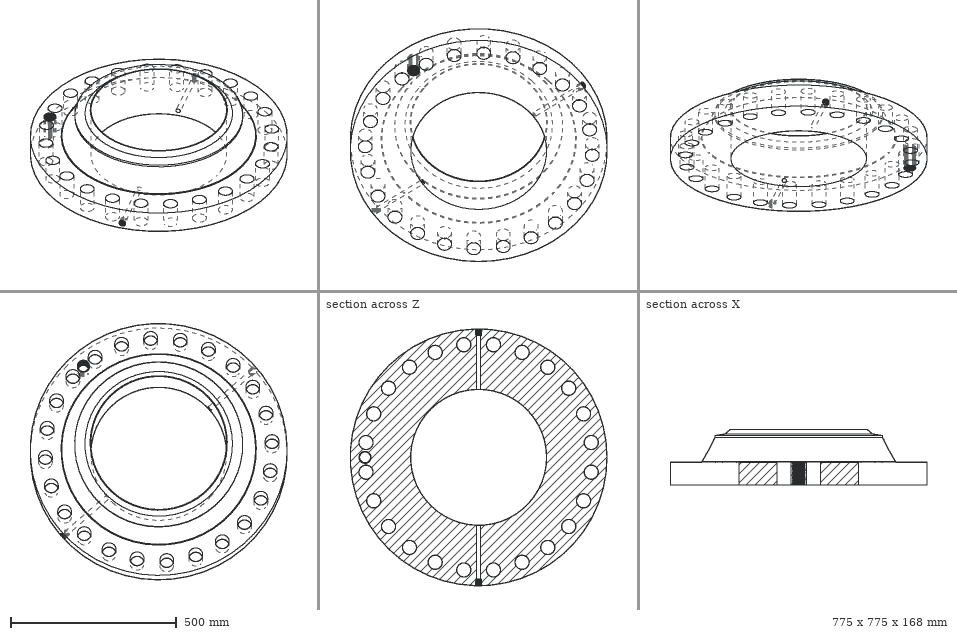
import cadquery as cq

flange_diameter = 775.0
flange_thickness = 70.0
bore_diameter = 409.0
flange_radius = flange_diameter / 2
bore_radius = bore_diameter / 2

overall_height = 168.0
hub_base_radius = 294.0
hub_taper_base_radius = 292.0
hub_flare_height = 1.5
hub_top_radius = 253.0
hub_taper_top = 143.0
hub_rim_top = 149.5
bevel_base_radius = 222.0
bevel_base_height = 155.0
land_width = 2.0

bolt_count = 24
bolt_hole_diameter = 42.0
bolt_circle_radius = 342.5
bolt_pitch_angle = 360 / bolt_count

jack_minor_diameter = 32.5
jack_major_diameter = 36.5
jack_thread_count = 17

tap_height = 18.0
tap_bore_diameter = 13.0
tap_mouth_diameter = 20.0
tap_socket_depth = 20.0
tap_taper = 1 / 16
tap_thread_depth = 1.2
tap_thread_count = 11


def make_body():
    """Revolve the flange and weld-neck hub about Z."""
    profile = [
        (bore_radius, 0),
        (flange_radius, 0),
        (flange_radius, flange_thickness),
        (hub_base_radius, flange_thickness),
        (hub_taper_base_radius, flange_thickness + hub_flare_height),
        (hub_top_radius, hub_taper_top),
        (hub_top_radius, hub_rim_top),
        (bevel_base_radius, bevel_base_height),
        (bore_radius + land_width, overall_height),
        (bore_radius, overall_height),
    ]
    return cq.Workplane("XZ").polyline(profile).close().revolve(360, (0, 0, 0), (0, 1, 0))


def make_bolt_holes():
    """Through holes, with the first one half a pitch away from +X."""
    return (
        cq.Workplane("XY")
        .polarArray(bolt_circle_radius, bolt_pitch_angle / 2, 360, bolt_count)
        .circle(bolt_hole_diameter / 2)
        .extrude(flange_thickness)
    )


def make_threaded_cutter(mouth_radius, depth, thread_depth, thread_count, taper=0.0):
    """Cutter running up from its inner end at z = 0 to its mouth at z = depth.

    The thread is a stack of V-shaped rings, with a crest at each end and between rings.
    mouth_radius is measured to the thread roots.
    """
    pitch = depth / thread_count

    def root_radius(z):
        return mouth_radius - (depth - z) * taper / 2

    profile = [(0, 0), (root_radius(0) - thread_depth, 0)]
    for ring in range(thread_count):
        root_z = (ring + 0.5) * pitch
        crest_z = (ring + 1) * pitch
        profile.append((root_radius(root_z), root_z))
        profile.append((root_radius(crest_z) - thread_depth, crest_z))
    profile.append((0, depth))
    return cq.Workplane("XZ").polyline(profile).close().revolve(360, (0, 0, 0), (0, 1, 0))


def make_jack_hole():
    """Threaded through hole on the bolt circle, opened to the thread roots at the top face."""
    thread_depth = (jack_major_diameter - jack_minor_diameter) / 2
    major_radius = jack_major_diameter / 2
    hole = make_threaded_cutter(major_radius, flange_thickness, thread_depth, jack_thread_count)
    mouth = cq.Workplane("XY").workplane(offset=flange_thickness).circle(major_radius)
    half_pitch = flange_thickness / jack_thread_count / 2
    hole = hole.union(mouth.extrude(-half_pitch))
    return hole.translate((-bolt_circle_radius, 0, 0))


def make_pressure_taps():
    """Bore across the whole flange, with a tapered threaded socket at each outer end."""
    taps = (
        cq.Workplane("XZ", origin=(0, 0, tap_height))
        .circle(tap_bore_diameter / 2)
        .extrude(flange_radius, both=True)
    )
    socket = make_threaded_cutter(
        tap_mouth_diameter / 2, tap_socket_depth, tap_thread_depth, tap_thread_count, tap_taper
    ).translate((0, 0, flange_radius - tap_socket_depth))
    for turn in (90, -90):
        placed = socket.rotate((0, 0, 0), (1, 0, 0), turn).translate((0, 0, tap_height))
        taps = taps.union(placed)
    return taps


result = (
    make_body()
    .cut(make_bolt_holes())
    .cut(make_jack_hole())
    .cut(make_pressure_taps())
)